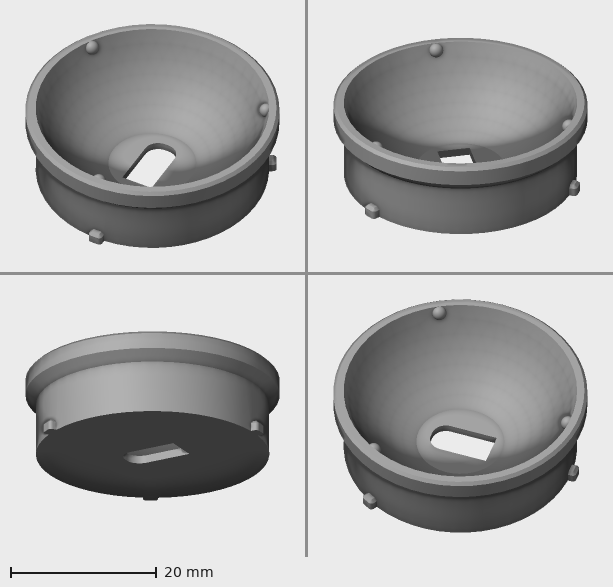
import cadquery as cq
import math

height = 11.35
flange_radius = 17.42
body_radius = 16.0
flare_bottom = 7.32
flare_top = flare_bottom + (flange_radius - body_radius)
rim_chamfer = 0.42

rim_radius = 16.0
bowl_radius = (rim_radius**2 + height**2) / (2 * height)
floor_radius = 6.03
floor_height = bowl_radius - math.sqrt(bowl_radius**2 - floor_radius**2)

slot_width = 4.53
slot_front = -4.5
slot_back = 4.18
slot_corner_radius = 2.0

feature_angles = (30, 150, 270)
ball_radius = 0.98
ball_top = 11.4
ball_height = ball_top - ball_radius
ball_offset = math.sqrt(bowl_radius**2 - (bowl_radius - ball_height) ** 2)
lug_width = 2.02
lug_height = 1.57
lug_reach = 17.0
lug_embed = 0.7
lug_root = body_radius - lug_embed
lug_corner_radius = 0.5
lug_chamfer = 0.42


def make_body():
    """Revolve the flanged cup, including its bowl, around Z."""
    middle_angle = (
        math.asin(floor_radius / bowl_radius) + math.asin(rim_radius / bowl_radius)
    ) / 2
    bowl_middle = (
        bowl_radius * math.sin(middle_angle),
        bowl_radius * (1 - math.cos(middle_angle)),
    )
    profile = (
        cq.Workplane("XZ")
        .lineTo(body_radius, 0)
        .lineTo(body_radius, flare_bottom)
        .lineTo(flange_radius, flare_top)
        .lineTo(flange_radius, height - rim_chamfer)
        .lineTo(flange_radius - rim_chamfer, height)
        .lineTo(rim_radius, height)
        .threePointArc(bowl_middle, (floor_radius, floor_height))
        .lineTo(0, floor_height)
        .close()
    )
    return profile.revolve(360, (0, 0, 0), (0, 1, 0))


def make_slot():
    """Through opening in the bowl floor."""
    return (
        cq.Workplane("XY")
        .box(slot_width, slot_back - slot_front, floor_height, centered=(True, False, False))
        .translate((0, slot_front, 0))
        .edges("|Z and >Y")
        .fillet(slot_corner_radius)
    )


def make_ball():
    """Ball centred on the bowl surface, on the +X side."""
    return cq.Workplane("XY").sphere(ball_radius).translate((ball_offset, 0, ball_height))


def make_lug():
    """Lug at the foot of the outer wall, on the +X side."""
    return (
        cq.Workplane("XY")
        .box(lug_reach - lug_root, lug_width, lug_height, centered=(False, True, False))
        .translate((lug_root, 0, 0))
        .edges("|Z and >X")
        .fillet(lug_corner_radius)
        .edges(">Z and (not <X)")
        .chamfer(lug_chamfer)
    )


result = make_body().cut(make_slot())
for angle in feature_angles:
    for feature in (make_ball(), make_lug()):
        result = result.union(feature.rotate((0, 0, 0), (0, 0, 1), angle))